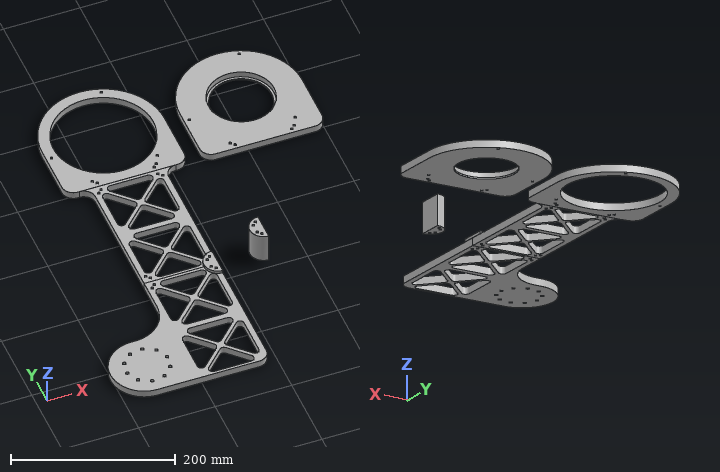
import cadquery as cq
import math

plate_thickness = 10.0
outer_corner_radius = 15.0

head_width = 160.0
head_radius = head_width / 2
ring_bore_diameter = 130.0
bearing_plate_x = 180.0
bearing_diameter = 85.5
bearing_lip_diameter = 79.0
bearing_lip_thickness = 2.0
rim_hole_diameter = 2.8
rim_hole_circle_radius = 74.25
rim_hole_count = 3
rim_hole_start_angle = 70.4

link_width = 96.0
link_half_width = link_width / 2
cell_pitch = 88.0
cells_per_link = 2
link_length = cells_per_link * cell_pitch
window_size = 80.0
brace_width = 5.0
window_corner_radius = 5.0
upper_joint_y = -head_radius
middle_joint_y = upper_joint_y - link_length
arm_bottom_y = middle_joint_y - link_length

lobe_width = link_width
lobe_height = cell_pitch
lobe_radius = lobe_height / 2
lobe_left_x = -link_half_width - lobe_width
lobe_centre_x = -link_half_width - lobe_width / 2
lobe_centre_y = arm_bottom_y + lobe_radius
lobe_top_y = arm_bottom_y + lobe_height
lobe_inner_radius = 46.0
motor_hole_diameter = 4.0
motor_hole_circle_radius = 28.0
motor_hole_count = 10
motor_hole_start_angle = 9.0

joint_hole_diameter = 3.0
joint_hole_circle_radius = 12.5
joint_hole_angles = (30.0, 60.0)
half_disc_radius = 18.0
joint_cover_height = 4.0
post_height = 41.0
post_offset = 60.0
post_x = link_half_width + post_offset


def polar_points(centre_x, centre_y, radius, angles):
    """Points on a circle at the given angles in degrees."""
    return [
        (centre_x + radius * math.cos(math.radians(a)), centre_y + radius * math.sin(math.radians(a)))
        for a in angles
    ]


def even_angles(count, start):
    """Angles in degrees of equally spaced points on a full circle."""
    return [start + i * 360.0 / count for i in range(count)]


def drill(body, points, diameter):
    """Cut through holes of one diameter at the given points."""
    drills = cq.Workplane("XY").pushPoints(points).circle(diameter / 2).extrude(plate_thickness)
    return body.cut(drills)


def joint_points(joint_y, side):
    """Screw holes at both ends of a joint, on its +Y side (side = 1) or its -Y side (side = -1)."""
    right_angles = [180.0 - side * a for a in joint_hole_angles]
    left_angles = [side * a for a in joint_hole_angles]
    right = polar_points(link_half_width, joint_y, joint_hole_circle_radius, right_angles)
    left = polar_points(-link_half_width, joint_y, joint_hole_circle_radius, left_angles)
    return right + left


def make_head_plate():
    """Head plate without its bore, with the rim holes and joint holes."""
    plate = (
        cq.Workplane("XY")
        .moveTo(-head_radius, 0)
        .threePointArc((0, head_radius), (head_radius, 0))
        .lineTo(head_radius, upper_joint_y)
        .lineTo(-head_radius, upper_joint_y)
        .close()
        .extrude(plate_thickness)
        .edges("|Z and <Y")
        .fillet(outer_corner_radius)
    )
    rim_angles = even_angles(rim_hole_count, rim_hole_start_angle)
    plate = drill(plate, polar_points(0, 0, rim_hole_circle_radius, rim_angles), rim_hole_diameter)
    return drill(plate, joint_points(upper_joint_y, 1), joint_hole_diameter)


def make_ring_plate():
    """Head plate with one large plain bore."""
    bore = cq.Workplane("XY").circle(ring_bore_diameter / 2).extrude(plate_thickness)
    return make_head_plate().cut(bore)


def make_bearing_plate():
    """Head plate with a bearing seat above a thin lip."""
    lip_bore = cq.Workplane("XY").circle(bearing_lip_diameter / 2).extrude(plate_thickness)
    seat = (
        cq.Workplane("XY")
        .workplane(offset=bearing_lip_thickness)
        .circle(bearing_diameter / 2)
        .extrude(plate_thickness - bearing_lip_thickness)
    )
    return make_head_plate().cut(lip_bore).cut(seat).translate((bearing_plate_x, 0, 0))


def make_cell_windows(centre_y):
    """List of four rounded triangles that leave an X of diagonal braces in one cell."""
    half_window = window_size / 2
    brace_offset = brace_width / math.sqrt(2)
    half_base = half_window - brace_offset
    triangle = (
        cq.Workplane("XY")
        .polyline([(brace_offset, 0), (half_window, -half_base), (half_window, half_base)])
        .close()
        .extrude(plate_thickness)
        .edges("|Z")
        .fillet(window_corner_radius)
    )
    centred = [triangle.rotate((0, 0, 0), (0, 0, 1), angle) for angle in even_angles(4, 0)]
    return [window.translate((0, centre_y, 0)) for window in centred]


def cut_link_windows(body, top_y):
    """Cut the windows of every cell of a link that starts at top_y and runs towards -Y."""
    for i in range(cells_per_link):
        for window in make_cell_windows(top_y - (i + 0.5) * cell_pitch):
            body = body.cut(window)
    return body


def make_upper_link():
    """Truss link that flares out where it meets the ring plate."""
    r = outer_corner_radius
    flare_bottom_y = upper_joint_y - r
    flare_x = link_half_width + r
    arc_dip = r * (1 - math.sqrt(0.5))
    flare_mid_x = link_half_width + arc_dip
    flare_mid_y = upper_joint_y - arc_dip
    link = (
        cq.Workplane("XY")
        .moveTo(-flare_x, upper_joint_y)
        .lineTo(flare_x, upper_joint_y)
        .threePointArc((flare_mid_x, flare_mid_y), (link_half_width, flare_bottom_y))
        .lineTo(link_half_width, middle_joint_y)
        .lineTo(-link_half_width, middle_joint_y)
        .lineTo(-link_half_width, flare_bottom_y)
        .threePointArc((-flare_mid_x, flare_mid_y), (-flare_x, upper_joint_y))
        .close()
        .extrude(plate_thickness)
    )
    link = cut_link_windows(link, upper_joint_y)
    link = drill(link, joint_points(upper_joint_y, -1), joint_hole_diameter)
    return drill(link, joint_points(middle_joint_y, 1), joint_hole_diameter)


def make_lower_arm():
    """Truss link with a round motor lobe blended into its left side."""
    r = lobe_inner_radius
    arc_dip = r * (1 - math.sqrt(0.5))
    lobe_arc_x = lobe_left_x + lobe_radius
    arm = (
        cq.Workplane("XY")
        .moveTo(-link_half_width, middle_joint_y)
        .lineTo(link_half_width, middle_joint_y)
        .lineTo(link_half_width, arm_bottom_y + outer_corner_radius)
        .radiusArc((link_half_width - outer_corner_radius, arm_bottom_y), outer_corner_radius)
        .lineTo(lobe_arc_x, arm_bottom_y)
        .threePointArc((lobe_left_x, lobe_centre_y), (lobe_arc_x, lobe_top_y))
        .lineTo(-link_half_width - r, lobe_top_y)
        .threePointArc(
            (-link_half_width - arc_dip, lobe_top_y + arc_dip),
            (-link_half_width, lobe_top_y + r),
        )
        .close()
        .extrude(plate_thickness)
    )
    arm = cut_link_windows(arm, middle_joint_y)
    arm = drill(arm, joint_points(middle_joint_y, -1), joint_hole_diameter)
    motor_angles = even_angles(motor_hole_count, motor_hole_start_angle)
    motor_points = polar_points(lobe_centre_x, lobe_centre_y, motor_hole_circle_radius, motor_angles)
    return drill(arm, motor_points, motor_hole_diameter)


def make_half_disc(flat_x, height):
    """Half disc with its screw holes, level in Y with the middle joint, based at the plates' top."""
    top_plane = cq.Workplane("XY").workplane(offset=plate_thickness)
    body = (
        top_plane.moveTo(flat_x, middle_joint_y + half_disc_radius)
        .threePointArc(
            (flat_x - half_disc_radius, middle_joint_y),
            (flat_x, middle_joint_y - half_disc_radius),
        )
        .close()
        .extrude(height)
    )
    angles = [180.0 + side * a for side in (1, -1) for a in joint_hole_angles]
    points = polar_points(flat_x, middle_joint_y, joint_hole_circle_radius, angles)
    return body.cut(top_plane.pushPoints(points).circle(joint_hole_diameter / 2).extrude(height))


ring_plate = make_ring_plate()
bearing_plate = make_bearing_plate()
upper_link = make_upper_link()
lower_arm = make_lower_arm()
joint_cover = make_half_disc(link_half_width, joint_cover_height)
post = make_half_disc(post_x, post_height)

result = cq.Compound.makeCompound(
    [
        ring_plate.val(),
        bearing_plate.val(),
        upper_link.val(),
        lower_arm.val(),
        joint_cover.val(),
        post.val(),
    ]
)